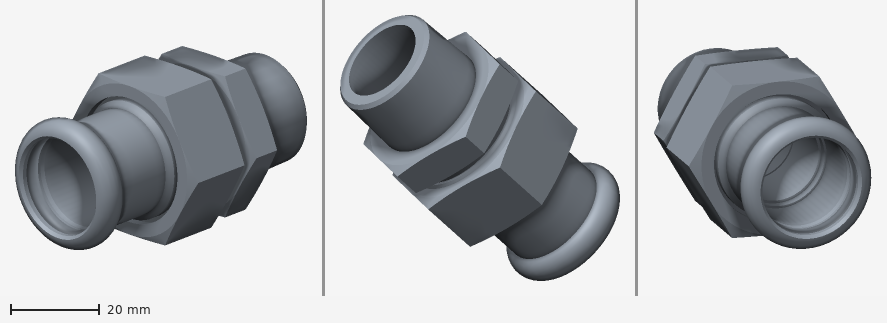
import cadquery as cq
import math

length = 68.5

bead_diameter = 30.8
bead_length = 7.4
tube_diameter = 25.3
flare_start = 22.0
collar_diameter = 28.1

nut_across_flats = 36.0
nut_start = 23.4
nut_end = 39.95
nut_bore_diameter = 30.0
nut_recess_depth = 2.05

lip_end = 40.55
lip_diameter = 31.45
lip_tip_diameter = 30.3
neck_diameter = 29.0
body_hex_across_flats = 34.25
body_hex_start = 43.5
body_hex_end = 51.6
thread_start = 52.0
thread_root_diameter = 26.9
thread_tip_diameter = 25.9
thread_chamfer_length = 0.9
thread_end_diameter = 24.3
hex_chamfer_angle = 15.0

mouth_diameter = 24.25
land_diameter = 22.9
mouth_cone_length = 0.7
groove_start = 1.85
groove_end = 5.55
groove_diameter = 26.45
land_end = 6.4
socket_cone_end = 7.4
socket_diameter = 22.3
socket_end = 21.25
stop_diameter = 21.3
stop_end = nut_start
seat_diameter = 20.0
seat_end = nut_end
bore_diameter = 19.3


def cone(start, end, start_diameter, end_diameter):
    """Frustum along Y between two stations."""
    profile = cq.Workplane("XY").polyline([
        (0, start),
        (start_diameter / 2, start),
        (end_diameter / 2, end),
        (0, end),
    ]).close()
    return profile.revolve(360, (0, 0, 0), (0, 1, 0))


def cylinder(start, end, diameter):
    """Cylinder along Y between two stations."""
    return cone(start, end, diameter, diameter)


def chamfered_hex(start, end, across_flats):
    """Hexagon along Y with corners on X and both ends turned to a shallow cone."""
    across_corners = across_flats / math.cos(math.pi / 6)
    chamfer = (across_corners - across_flats) / 2 * math.tan(math.radians(hex_chamfer_angle))
    prism = (
        cq.Workplane("XZ", origin=(0, start, 0))
        .polygon(6, across_corners)
        .extrude(-(end - start))
    )
    envelope = (
        cone(start, start + chamfer, across_flats, across_corners)
        .union(cylinder(start + chamfer, end - chamfer, across_corners))
        .union(cone(end - chamfer, end, across_corners, across_flats))
    )
    return prism.intersect(envelope)


def socket_tube():
    """Tube with a rounded bead at its mouth and a flare into the collar."""
    bead_profile = (
        cq.Workplane("XY")
        .lineTo(mouth_diameter / 2, 0)
        .threePointArc((bead_diameter / 2, bead_length / 2), (mouth_diameter / 2, bead_length))
        .lineTo(0, bead_length)
        .close()
    )
    bead = bead_profile.revolve(360, (0, 0, 0), (0, 1, 0))
    tube = cylinder(bead_length / 2, flare_start, tube_diameter)
    flare_end = flare_start + (collar_diameter - tube_diameter) / 2
    flare = cone(flare_start, flare_end, tube_diameter, collar_diameter)
    collar = cylinder(flare_end, nut_end, collar_diameter)
    return bead.union(tube).union(flare).union(collar)


def union_nut():
    """Hexagonal nut with a clearance recess around the collar."""
    recess = cylinder(nut_start, nut_start + nut_recess_depth, nut_bore_diameter)
    return chamfered_hex(nut_start, nut_end, nut_across_flats).cut(recess)


def male_body():
    """Lip, neck, hexagon and tapered thread blank."""
    thread_end = length - thread_chamfer_length
    return (
        cone(nut_end, lip_end, lip_diameter, lip_tip_diameter)
        .union(cylinder(lip_end, body_hex_start, neck_diameter))
        .union(chamfered_hex(body_hex_start, body_hex_end, body_hex_across_flats))
        .union(cylinder(body_hex_end, thread_start, thread_root_diameter))
        .union(cone(thread_start, thread_end, thread_root_diameter, thread_tip_diameter))
        .union(cone(thread_end, length, thread_tip_diameter, thread_end_diameter))
    )


def bore():
    """Stepped through bore with a round-bottomed seal groove near the mouth."""
    groove_middle = (groove_start + groove_end) / 2
    profile = (
        cq.Workplane("XY")
        .moveTo(0, 0)
        .lineTo(mouth_diameter / 2, 0)
        .lineTo(land_diameter / 2, mouth_cone_length)
        .lineTo(land_diameter / 2, groove_start)
        .threePointArc((groove_diameter / 2, groove_middle), (land_diameter / 2, groove_end))
        .lineTo(land_diameter / 2, land_end)
        .lineTo(socket_diameter / 2, socket_cone_end)
        .lineTo(socket_diameter / 2, socket_end)
        .lineTo(stop_diameter / 2, socket_end)
        .lineTo(stop_diameter / 2, stop_end)
        .lineTo(seat_diameter / 2, stop_end)
        .lineTo(seat_diameter / 2, seat_end)
        .lineTo(bore_diameter / 2, seat_end)
        .lineTo(bore_diameter / 2, length)
        .lineTo(0, length)
        .close()
    )
    return profile.revolve(360, (0, 0, 0), (0, 1, 0))


result = socket_tube().union(union_nut()).union(male_body()).cut(bore())